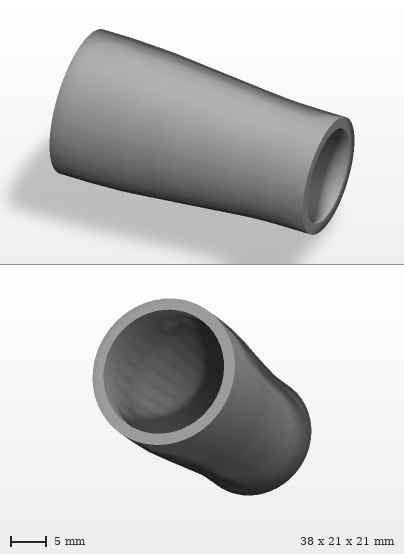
import cadquery as cq

length = 38.0
large_outer_diameter = 21.0
small_outer_diameter = 17.1
large_inner_diameter = 17.8
small_inner_diameter = 13.85
collar_length = 4.6
blend_length = 6.8

large_end_x = -length / 2
small_end_x = length / 2
large_blend_x = large_end_x + collar_length
small_blend_x = small_end_x - collar_length
cone_start_x = large_blend_x + blend_length
cone_end_x = small_blend_x - blend_length
cone_length = cone_end_x - cone_start_x


def tapered_body(large_diameter, small_diameter):
    """Revolve straight collars joined by a cone with a tangent arc at each end."""
    large_radius = large_diameter / 2
    small_radius = small_diameter / 2

    blend_drop = (large_radius - small_radius) / (2 * (1 + cone_length / blend_length))

    return (
        cq.Workplane("XZ")
        .moveTo(large_end_x, 0)
        .lineTo(large_end_x, large_radius)
        .lineTo(large_blend_x, large_radius)
        .tangentArcPoint((cone_start_x, large_radius - blend_drop), relative=False)
        .lineTo(cone_end_x, small_radius + blend_drop)
        .tangentArcPoint((small_blend_x, small_radius), relative=False)
        .lineTo(small_end_x, small_radius)
        .lineTo(small_end_x, 0)
        .close()
        .revolve(360, (0, 0, 0), (1, 0, 0))
    )


outer_body = tapered_body(large_outer_diameter, small_outer_diameter)
bore = tapered_body(large_inner_diameter, small_inner_diameter)
result = outer_body.cut(bore)